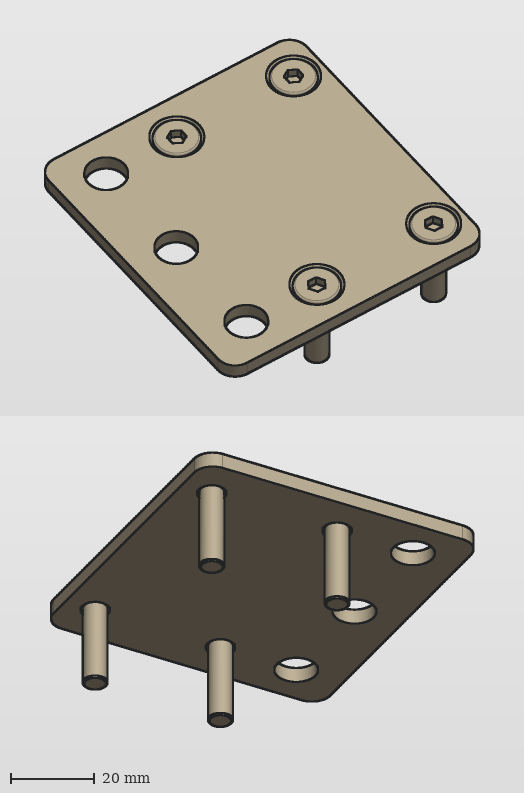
import cadquery as cq
import math

PLATE_LENGTH = 80.0
PLATE_WIDTH = 75.0
PLATE_THICKNESS = 4.0
CORNER_RADIUS = 5.0

OPEN_HOLE_DIAMETER = 10.5
OPEN_HOLE_EDGE_DISTANCE = 12.5

COLUMN_SPACING = 58.0
BACK_ROW_EDGE_DISTANCE = 8.0
ROW_SPACING = 34.0

CLEARANCE_DIAMETER = 7.0
COUNTERSINK_DIAMETER = 13.1
COUNTERSINK_ANGLE = 90.0

SCREW_LENGTH = 25.0
SHANK_DIAMETER = 6.0
HEAD_TOP_DIAMETER = 10.5
TIP_CHAMFER = 0.4
SOCKET_ACROSS_FLATS = 4.0
SOCKET_DEPTH = 2.3
LEFT_SOCKET_ANGLE = 30.0
RIGHT_SOCKET_ANGLE = 0.0

SHANK_RADIUS = SHANK_DIAMETER / 2
HEAD_TOP_RADIUS = HEAD_TOP_DIAMETER / 2
COUNTERSINK_RADIUS = COUNTERSINK_DIAMETER / 2
RIM_TURN = math.radians(135)
RIM_ROUNDING = (COUNTERSINK_RADIUS - HEAD_TOP_RADIUS) / math.tan(RIM_TURN / 2)
HEAD_DEPTH = COUNTERSINK_RADIUS - SHANK_RADIUS

column_x = COLUMN_SPACING / 2
back_row_y = PLATE_WIDTH / 2 - BACK_ROW_EDGE_DISTANCE
front_row_y = back_row_y - ROW_SPACING
open_hole_y = OPEN_HOLE_EDGE_DISTANCE - PLATE_WIDTH / 2

SCREW_POSITIONS = [(x, y) for x in (-column_x, column_x) for y in (front_row_y, back_row_y)]
OPEN_HOLE_POSITIONS = [(x, open_hole_y) for x in (-column_x, 0, column_x)]


def make_plate():
    """Rounded plate with three open holes and four countersunk screw holes."""
    plate = (
        cq.Workplane("XY")
        .box(PLATE_LENGTH, PLATE_WIDTH, PLATE_THICKNESS, centered=(True, True, False))
        .translate((0, 0, -PLATE_THICKNESS))
        .edges("|Z")
        .fillet(CORNER_RADIUS)
    )
    top = cq.Workplane("XY")
    open_holes = top.pushPoints(OPEN_HOLE_POSITIONS).circle(OPEN_HOLE_DIAMETER / 2).extrude(-PLATE_THICKNESS)
    plate = plate.cut(open_holes)
    return (
        plate.faces(">Z")
        .workplane(origin=(0, 0, 0))
        .pushPoints(SCREW_POSITIONS)
        .cskHole(CLEARANCE_DIAMETER, COUNTERSINK_DIAMETER, COUNTERSINK_ANGLE)
    )


def make_screw(x, y, socket_angle):
    """Countersunk screw with a rounded head rim, hexagon socket and chamfered tip."""
    half_profile = [
        (0, 0),
        (COUNTERSINK_RADIUS, 0),
        (SHANK_RADIUS, -HEAD_DEPTH),
        (SHANK_RADIUS, TIP_CHAMFER - SCREW_LENGTH),
        (SHANK_RADIUS - TIP_CHAMFER, -SCREW_LENGTH),
        (0, -SCREW_LENGTH),
    ]
    screw = cq.Workplane("XZ").polyline(half_profile).close().revolve(360, (0, 0, 0), (0, 1, 0))
    screw = screw.faces(">Z").edges().fillet(RIM_ROUNDING)
    socket = (
        cq.Workplane("XY")
        .polygon(6, SOCKET_ACROSS_FLATS, circumscribed=True)
        .extrude(-SOCKET_DEPTH)
        .rotate((0, 0, 0), (0, 0, 1), socket_angle)
    )
    return screw.cut(socket).translate((x, y, 0))


plate = make_plate()
screws = []
for x, y in SCREW_POSITIONS:
    socket_angle = LEFT_SOCKET_ANGLE if x < 0 else RIGHT_SOCKET_ANGLE
    screws.append(make_screw(x, y, socket_angle))

result = cq.Compound.makeCompound([plate.val(), *[screw.val() for screw in screws]])